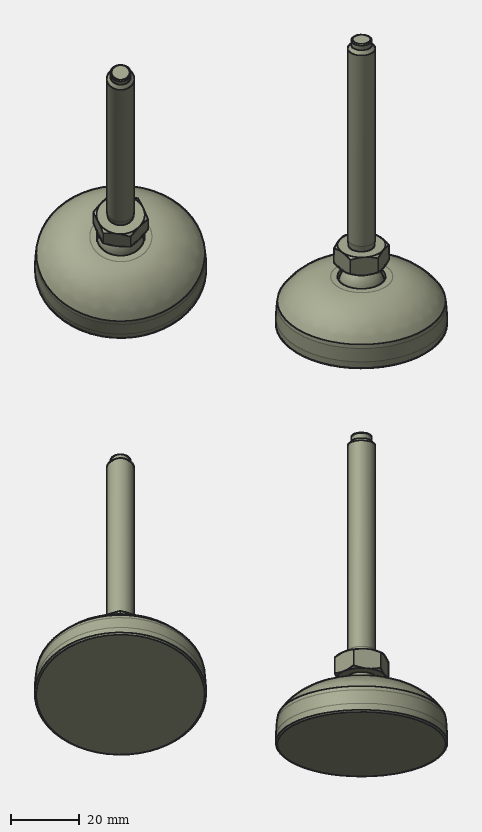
import cadquery as cq
import math

total_height = 97.2

base_radius = 25.0
bottom_chamfer = 0.5
rim_height = 2.6
wall_top_height = 7.0
wall_top_radius = 24.7
dome_start_height = 8.2
dome_start_radius = 24.5
base_height = 16.5
flat_top_radius = 9.0

ball_radius = 6.8
ball_center_height = 13.7
socket_radius = 14.0 / 2

across_flats = 14.0
hexagon_bottom = 21.1
hexagon_height = 6.1
corner_chamfer_angle = 30.0

stud_radius = 8.1 / 2
collar_radius = 7.7 / 2
collar_top_height = 29.3
tip_radius = 6.0 / 2
tip_length = 1.9
shoulder_length = 1.2
tip_chamfer = 0.4


def make_base():
    """Revolve the base; the dome arc starts level at the edge of the flat top."""
    dome_run = dome_start_radius - flat_top_radius
    dome_drop = base_height - dome_start_height
    dome_radius = (dome_run**2 + dome_drop**2) / (2 * dome_drop)
    half_sweep = math.asin(dome_run / dome_radius) / 2
    dome_middle = (
        flat_top_radius + dome_radius * math.sin(half_sweep),
        base_height - dome_radius * (1 - math.cos(half_sweep)),
    )
    return (
        cq.Workplane("XZ")
        .lineTo(base_radius - bottom_chamfer, 0)
        .lineTo(base_radius, bottom_chamfer)
        .lineTo(base_radius, rim_height)
        .lineTo(wall_top_radius, wall_top_height)
        .lineTo(dome_start_radius, dome_start_height)
        .threePointArc(dome_middle, (flat_top_radius, base_height))
        .lineTo(0, base_height)
        .close()
        .revolve(360, (0, 0, 0), (0, 1, 0))
    )


def make_socket():
    """Cylinder that opens the flat top down to the widest level of the ball."""
    depth = base_height - ball_center_height
    return cq.Workplane("XY").workplane(offset=ball_center_height).circle(socket_radius).extrude(depth)


def make_ball():
    return cq.Workplane("XY").sphere(ball_radius).translate((0, 0, ball_center_height))


def make_hexagon():
    """Hexagon with flats facing X, its corners trimmed by cones at both ends."""
    corner_radius = across_flats / 2 / math.cos(math.pi / 6)
    face_radius = across_flats / 2
    chamfer_drop = (corner_radius - face_radius) * math.tan(math.radians(corner_chamfer_angle))
    prism = (
        cq.Workplane("XY")
        .polygon(6, 2 * corner_radius)
        .extrude(hexagon_height)
        .rotate((0, 0, 0), (0, 0, 1), 30)
    )
    trim = (
        cq.Workplane("XZ")
        .lineTo(face_radius, 0)
        .lineTo(corner_radius, chamfer_drop)
        .lineTo(corner_radius, hexagon_height - chamfer_drop)
        .lineTo(face_radius, hexagon_height)
        .lineTo(0, hexagon_height)
        .close()
        .revolve(360, (0, 0, 0), (0, 1, 0))
    )
    return prism.intersect(trim).translate((0, 0, hexagon_bottom))


def make_stud():
    """Stud from the ball centre to the tip, tapering in slightly where it meets the hexagon."""
    hexagon_top = hexagon_bottom + hexagon_height
    tip_start = total_height - tip_length
    return (
        cq.Workplane("XZ")
        .moveTo(0, ball_center_height)
        .lineTo(stud_radius, ball_center_height)
        .lineTo(stud_radius, hexagon_bottom)
        .lineTo(collar_radius, hexagon_top)
        .lineTo(stud_radius, collar_top_height)
        .lineTo(stud_radius, tip_start - shoulder_length)
        .lineTo(tip_radius, tip_start)
        .lineTo(tip_radius, total_height - tip_chamfer)
        .lineTo(tip_radius - tip_chamfer, total_height)
        .lineTo(0, total_height)
        .close()
        .revolve(360, (0, 0, 0), (0, 1, 0))
    )


socketed_base = make_base().cut(make_socket())
result = socketed_base.union(make_ball()).union(make_stud()).union(make_hexagon())